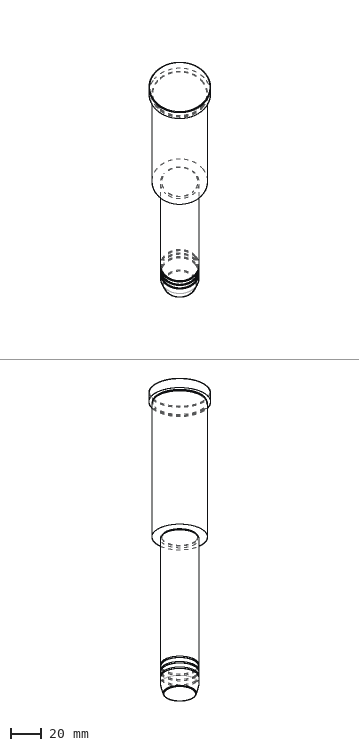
import cadquery as cq

total_length = 220.0
head_diameter = 40.0
body_diameter = 36.0
shaft_diameter = 25.0
head_height = 7.0
body_bottom_depth = 105.5
edge_break = 0.5

relief_width = 1.3
head_relief_depth = 0.5
body_relief_depth = 0.9

groove_count = 3
groove_pitch = 4.0
groove_width = 1.0
lowest_groove_bottom = 12.0

nose_length = 7.0
tip_diameter = 21.5
nose_bulge = 0.1

head_radius = head_diameter / 2
body_radius = body_diameter / 2
shaft_radius = shaft_diameter / 2
tip_radius = tip_diameter / 2
head_bottom = total_length - head_height
body_bottom = total_length - body_bottom_depth


def groove(bottom, width, outer_radius):
    """Ring that cuts a groove of half-round section into a round surface."""
    depth = width / 2
    return (
        cq.Workplane("XZ")
        .moveTo(outer_radius, bottom)
        .threePointArc((outer_radius - depth, bottom + width / 2), (outer_radius, bottom + width))
        .close()
        .revolve(360, (0, 0, 0), (0, 1, 0))
    )


def relief(top, width, outer_radius, depth):
    """Ring that cuts a relief below a shoulder, its lower end sloping out at 45 degrees."""
    return (
        cq.Workplane("XZ")
        .moveTo(outer_radius, top)
        .lineTo(outer_radius - depth, top)
        .lineTo(outer_radius - depth, top - width + depth)
        .lineTo(outer_radius, top - width)
        .close()
        .revolve(360, (0, 0, 0), (0, 1, 0))
    )


def pin_blank():
    """Head, body, shaft and nose turned as one profile of radius against height."""
    nose_middle = ((shaft_radius + tip_radius) / 2 + nose_bulge, (nose_length + edge_break) / 2)
    return (
        cq.Workplane("XZ")
        .lineTo(tip_radius - edge_break, 0)
        .lineTo(tip_radius, edge_break)
        .threePointArc(nose_middle, (shaft_radius, nose_length))
        .lineTo(shaft_radius, body_bottom)
        .lineTo(body_radius, body_bottom)
        .lineTo(body_radius, head_bottom)
        .lineTo(head_radius, head_bottom)
        .lineTo(head_radius, total_length - edge_break)
        .lineTo(head_radius - edge_break, total_length)
        .lineTo(0, total_length)
        .close()
        .revolve(360, (0, 0, 0), (0, 1, 0))
    )


result = pin_blank()
result = result.cut(relief(head_bottom, relief_width, body_radius, head_relief_depth))
result = result.cut(relief(body_bottom, relief_width, shaft_radius, body_relief_depth))
for index in range(groove_count):
    groove_bottom = lowest_groove_bottom + index * groove_pitch
    result = result.cut(groove(groove_bottom, groove_width, shaft_radius))